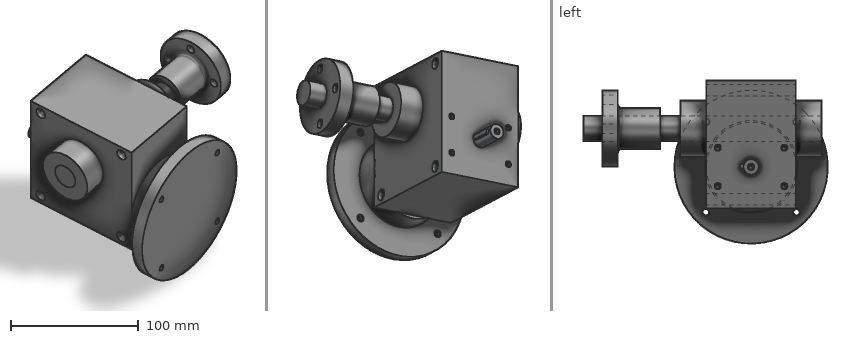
import cadquery as cq
import math


BLOCK_SIDE = 100.0
BLOCK_DEPTH = 70.1
WORM_TO_BOTTOM = 32.5
HUB_DIAMETER = 44.0
HUB_LENGTH = 20.0
MOUNT_HOLE_DIAMETER = 9.0
MOUNT_SPACING_X = 80.0
MOUNT_SPACING_Z = 85.0

SHAFT_DIAMETER = 12.0
SHAFT_LENGTH = 25.0

TAP_DIAMETER = 4.2
TAP_MOUTH_DIAMETER = 5.0
TAP_DEPTH = 10.0
TAP_TIP_ANGLE = 118
MOUTH_ANGLE = 45
TAP_SPACING_Y = 52.0
TAP_SPACING_Z = 30.0

KEY_LENGTH = 20.0
KEY_WIDTH = 4.0
KEY_PROTRUSION = 2.0

FLANGE_DIAMETER = 120.0
FLANGE_THICKNESS = 10.0
NECK_LENGTH = 20.0
NECK_END_DIAMETER = 72.8
FLANGE_HOLE_DIAMETER = 5.0
FLANGE_MOUTH_DIAMETER = 6.0
FLANGE_BOLT_CIRCLE = 100.0
FLANGE_HOLE_COUNT = 4
FLANGE_HOLE_ANGLE = 45

SCREW_DIAMETER = 20.0
SCREW_HEIGHT = 30.0
SCREW_BACK_END = 131.0

NUT_GAP = 15.9
NUT_LENGTH = 45.0
NUT_DIAMETER = 32.0
NUT_FLANGE_DIAMETER = 60.0
NUT_FLANGE_THICKNESS = 12.0
NUT_FILLET = 3.0
NUT_HOLE_DIAMETER = 7.0
NUT_BOLT_CIRCLE = 45.3
NUT_HOLE_COUNT = 4

BLOCK_BOTTOM = -WORM_TO_BOTTOM
BLOCK_CENTRE_Z = BLOCK_BOTTOM + BLOCK_SIDE / 2
BLOCK_LEFT = -BLOCK_SIDE / 2
BLOCK_RIGHT = BLOCK_SIDE / 2
SHAFT_END = BLOCK_LEFT - SHAFT_LENGTH
HUB_BACK = BLOCK_DEPTH / 2 + HUB_LENGTH
HUB_FRONT = -HUB_BACK
NUT_FRONT = HUB_BACK + NUT_GAP
NUT_BACK = NUT_FRONT + NUT_LENGTH


def along_x(diameter, start, end):
    """Cylinder on the worm axis between two X positions."""
    return cq.Workplane("YZ", origin=(start, 0, 0)).circle(diameter / 2).extrude(end - start)


def along_y(diameter, start, end, x=0.0, z=SCREW_HEIGHT):
    """Cylinder parallel to Y between two Y positions, on the screw axis by default."""
    return cq.Workplane("XZ", origin=(x, start, z)).circle(diameter / 2).extrude(start - end)


def tapping_hole(x, y, z):
    """Blind hole drilled toward +X from a point, with a chamfered mouth and a conical drill tip."""
    radius = TAP_DIAMETER / 2
    mouth_radius = TAP_MOUTH_DIAMETER / 2
    mouth_depth = (mouth_radius - radius) / math.tan(math.radians(MOUTH_ANGLE))
    tip_length = radius / math.tan(math.radians(TAP_TIP_ANGLE / 2))
    profile = [
        (0, 0),
        (TAP_DEPTH + tip_length, 0),
        (TAP_DEPTH, radius),
        (mouth_depth, radius),
        (0, mouth_radius),
    ]
    drill = cq.Workplane("XY").polyline(profile).close().revolve(360, (0, 0, 0), (1, 0, 0))
    return drill.translate((x, y, z))


def make_input_shaft():
    """Shaft stub standing on the block, with a round-ended key toward +Y and a tapped end."""
    shaft = along_x(SHAFT_DIAMETER, SHAFT_END, BLOCK_LEFT)
    key_middle = (BLOCK_LEFT + SHAFT_END) / 2
    key_top = SHAFT_DIAMETER / 2 + KEY_PROTRUSION
    key = cq.Workplane("XZ", origin=(key_middle, key_top, 0)).slot2D(KEY_LENGTH, KEY_WIDTH).extrude(key_top)
    return shaft.union(key).cut(tapping_hole(SHAFT_END, 0, 0))


def make_housing():
    """Block with two hubs, bored for the screw."""
    block = cq.Workplane("XY", origin=(0, 0, BLOCK_CENTRE_Z)).box(BLOCK_SIDE, BLOCK_DEPTH, BLOCK_SIDE)
    housing = block.union(along_y(HUB_DIAMETER, HUB_FRONT, HUB_BACK))
    housing = housing.cut(along_y(SCREW_DIAMETER, HUB_FRONT, HUB_BACK))

    for side_x in (-1, 1):
        for side_z in (-1, 1):
            x = side_x * MOUNT_SPACING_X / 2
            z = BLOCK_CENTRE_Z + side_z * MOUNT_SPACING_Z / 2
            housing = housing.cut(along_y(MOUNT_HOLE_DIAMETER, -BLOCK_DEPTH / 2, BLOCK_DEPTH / 2, x, z))

    for side_y in (-1, 1):
        for side_z in (-1, 1):
            y = side_y * TAP_SPACING_Y / 2
            z = side_z * TAP_SPACING_Z / 2
            housing = housing.cut(tapping_hole(BLOCK_LEFT, y, z))
    return housing


def make_motor_flange():
    """Round plate on a neck that starts as wide as the block and flares along an arc."""
    plate_face = BLOCK_RIGHT + NECK_LENGTH
    outer_face = plate_face + FLANGE_THICKNESS
    neck_start_radius = BLOCK_DEPTH / 2
    flare = NECK_END_DIAMETER / 2 - neck_start_radius
    arc_radius = (NECK_LENGTH**2 + flare**2) / (2 * flare)
    flange = (
        cq.Workplane("XY")
        .moveTo(BLOCK_RIGHT, 0)
        .lineTo(BLOCK_RIGHT, neck_start_radius)
        .radiusArc((plate_face, neck_start_radius + flare), -arc_radius)
        .lineTo(plate_face, FLANGE_DIAMETER / 2)
        .lineTo(outer_face, FLANGE_DIAMETER / 2)
        .lineTo(outer_face, 0)
        .close()
        .revolve(360, (0, 0, 0), (1, 0, 0))
    )
    plate = cq.Workplane("YZ", origin=(plate_face, 0, 0))
    hole_centres = plate.polarArray(FLANGE_BOLT_CIRCLE / 2, FLANGE_HOLE_ANGLE, 360, FLANGE_HOLE_COUNT)
    mouth_depth = (FLANGE_MOUTH_DIAMETER - FLANGE_HOLE_DIAMETER) / 2 / math.tan(math.radians(MOUTH_ANGLE))
    holes = hole_centres.circle(FLANGE_HOLE_DIAMETER / 2).extrude(FLANGE_THICKNESS)
    mouths = hole_centres.circle(FLANGE_MOUTH_DIAMETER / 2).extrude(mouth_depth, taper=MOUTH_ANGLE)
    return flange.cut(holes).cut(mouths)


def make_screw():
    """Plain lifting screw, flush with the front hub."""
    return along_y(SCREW_DIAMETER, HUB_FRONT, SCREW_BACK_END)


def make_nut():
    """Flanged nut: barrel toward the housing, filleted into a drilled flange."""
    flange_front = NUT_BACK - NUT_FLANGE_THICKNESS
    barrel = along_y(NUT_DIAMETER, NUT_FRONT, NUT_BACK)
    nut = barrel.union(along_y(NUT_FLANGE_DIAMETER, flange_front, NUT_BACK))
    flange_face = nut.faces("|Y").faces("<Y[1]")
    nut = flange_face.edges(cq.selectors.RadiusNthSelector(0)).fillet(NUT_FILLET)
    nut = nut.cut(along_y(SCREW_DIAMETER, NUT_FRONT, NUT_BACK))
    holes = (
        cq.Workplane("XZ", origin=(0, NUT_BACK, SCREW_HEIGHT))
        .polarArray(NUT_BOLT_CIRCLE / 2, 0, 360, NUT_HOLE_COUNT)
        .circle(NUT_HOLE_DIAMETER / 2)
        .extrude(NUT_FLANGE_THICKNESS)
    )
    return nut.cut(holes)


housing = make_housing()
input_shaft = make_input_shaft()
motor_flange = make_motor_flange()
screw = make_screw()
nut = make_nut()

result = cq.Compound.makeCompound(
    [housing.val(), input_shaft.val(), motor_flange.val(), screw.val(), nut.val()]
)